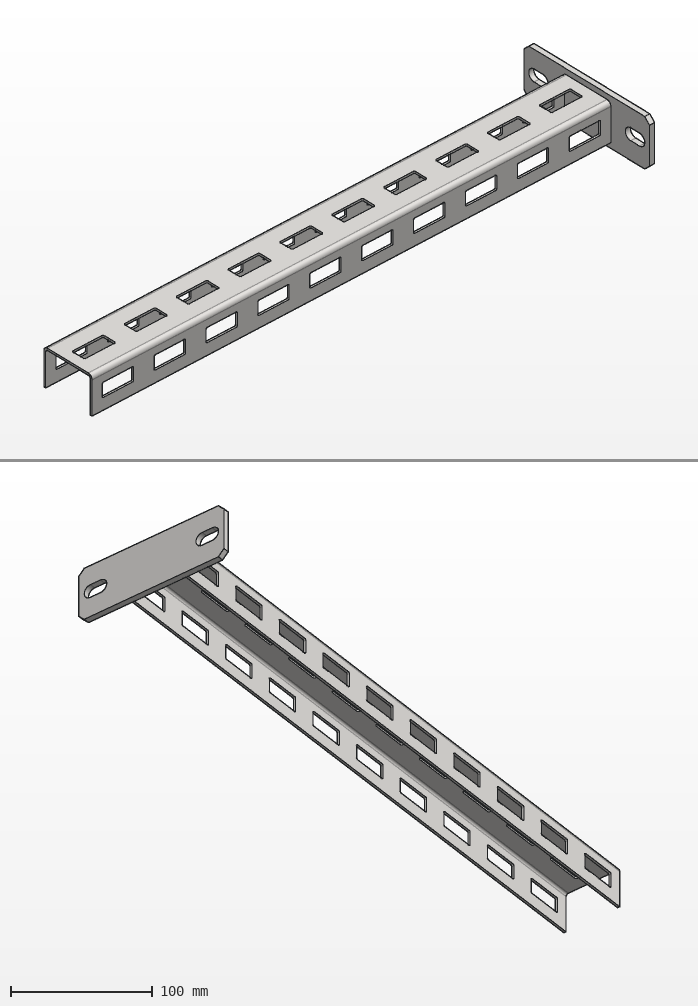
import cadquery as cq

PLATE_WIDTH = 130.0
PLATE_HEIGHT = 45.0
PLATE_THICKNESS = 5.0
PLATE_CORNER_CHAMFER = 5.0
MOUNTING_PITCH = 100.0
MOUNTING_SLOT_LENGTH = 20.0
MOUNTING_SLOT_WIDTH = 11.0

CHANNEL_LENGTH = 500.0
CHANNEL_WIDTH = 50.0
CHANNEL_HEIGHT = 35.0
SHEET_THICKNESS = 2.0
BEND_OUTER_RADIUS = 4.0
BEND_INNER_RADIUS = BEND_OUTER_RADIUS - SHEET_THICKNESS

PERFORATION_COUNT = 10
PERFORATION_LENGTH = 30.0
PERFORATION_WIDTH = 13.0
PERFORATION_CORNER_RADIUS = 1.0
PERFORATION_PITCH = CHANNEL_LENGTH / PERFORATION_COUNT


def make_plate():
    """Flat plate with chamfered corners and two round-ended mounting slots."""
    blank = (
        cq.Workplane("XY")
        .box(PLATE_WIDTH, PLATE_THICKNESS, PLATE_HEIGHT, centered=(True, False, True))
        .edges("|Y")
        .chamfer(PLATE_CORNER_CHAMFER)
    )
    slots = (
        cq.Workplane("XZ")
        .pushPoints([(-MOUNTING_PITCH / 2, 0), (MOUNTING_PITCH / 2, 0)])
        .slot2D(MOUNTING_SLOT_LENGTH, MOUNTING_SLOT_WIDTH)
        .extrude(-PLATE_THICKNESS)
    )
    return blank.cut(slots)


def make_channel_blank():
    """Bent U-channel without perforations."""
    outer = (
        cq.Workplane("XZ")
        .rect(CHANNEL_WIDTH, CHANNEL_HEIGHT)
        .extrude(CHANNEL_LENGTH)
        .edges("|Y and >Z")
        .fillet(BEND_OUTER_RADIUS)
    )
    inner = (
        cq.Workplane("XZ")
        .center(0, -SHEET_THICKNESS)
        .rect(CHANNEL_WIDTH - 2 * SHEET_THICKNESS, CHANNEL_HEIGHT)
        .extrude(CHANNEL_LENGTH)
        .edges("|Y and >Z")
        .fillet(BEND_INNER_RADIUS)
    )
    return outer.cut(inner)


def make_channel():
    """U-channel with evenly spaced perforations through the web and both flanges."""
    channel = make_channel_blank()
    for index in range(PERFORATION_COUNT):
        center_y = -(PERFORATION_PITCH / 2 + index * PERFORATION_PITCH)
        web_cutter = (
            cq.Workplane("XY")
            .center(0, center_y)
            .rect(PERFORATION_WIDTH, PERFORATION_LENGTH)
            .extrude(CHANNEL_HEIGHT)
            .edges("|Z")
            .fillet(PERFORATION_CORNER_RADIUS)
        )
        flange_cutter = (
            cq.Workplane("YZ")
            .center(center_y, 0)
            .rect(PERFORATION_LENGTH, PERFORATION_WIDTH)
            .extrude(CHANNEL_WIDTH, both=True)
            .edges("|X")
            .fillet(PERFORATION_CORNER_RADIUS)
        )
        channel = channel.cut(web_cutter).cut(flange_cutter)
    return channel


plate = make_plate()
channel = make_channel()

result = cq.Compound.makeCompound([plate.val(), channel.val()])